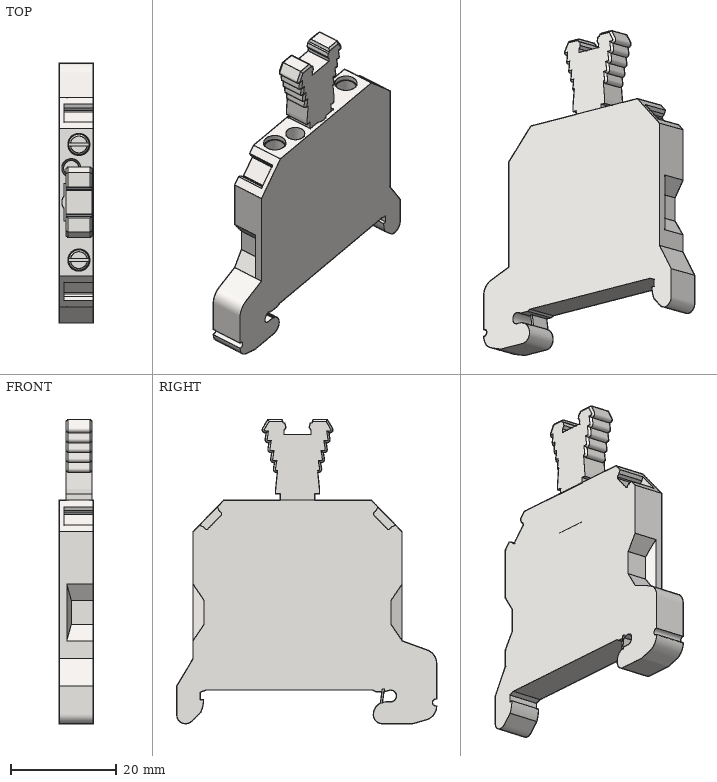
import cadquery as cq
import math


thickness = 6.5
body_half_length = 19.9
body_top = 42.55
shoulder_top_half = 14.05
shoulder_drop = 6.0
shoulder_bottom = body_top - shoulder_drop

front_foot_y = -23.0
front_slope_top = 12.4
front_slope_bottom = 7.2
front_toe_radius = 1.7
front_corner_z = -front_toe_radius * math.sqrt(2)
hook_start_y = -18.4
hook_start_z = hook_start_y - front_foot_y + front_corner_z
hook_mid = (-18.05, 3.2)
hook_tip = (-17.85, 4.6)
hook_root_y = -18.5

seat_z = 6.4
seat_front_y = -17.4
seat_front_drop = 0.4
seat_back_y = 14.3
seat_lip_drop = 0.3
seat_lip_length = 0.6

back_foot_y = 26.5
back_slope_top = 15.8
back_slope_bottom = 13.4
back_heel_z = 1.3
back_bottom_y = 21.9
back_corner_radius = 2.8
toe_y = 14.4
toe_bottom_radius = 1.75
notch_y = 17.7
notch_radius = 1.1
notch_floor = seat_z - 2 * notch_radius
toe_top_radius = notch_floor - toe_bottom_radius
heel_groove_radius = 0.65
heel_groove_inset = 0.15
heel_groove_z = 4.05

wall = 0.95

shoulder_rim_length = 4.9
shoulder_bevel = (0.3, 0.73)
shoulder_wall_depth = 0.71
shoulder_floor_bevel = 0.21

side_pocket_wall = 1.45
side_pocket_z = 21.2
side_pocket_height = 10.8
side_pocket_depth = 2.1
side_pocket_taper = 3.1
side_pocket_wall_taper = 0.85

screw_x = 3.75
screw_y = 11.0
screw_length = 8.0
screw_rim_depth = 1.0
screw_recess = 4.0
screw_rim_radius = 2.1
screw_radius = 1.95
screw_chamfer = 0.35
screw_slot_width = 0.6
screw_slot_depth = 0.6

hole_x = 2.3
hole_radius = 1.8
test_hole_y = 6.5
test_hole_bottom_radius = 1.45
hole_depth = 8.0

plug_x_start = 1.28
plug_x_end = 6.28
plug_top = 57.94
plug_foot_z = 43.75
plug_foot_half = 4.2
plug_shank_z = 44.6
neck_half = 3.3
neck_depth = 8.0
plug_slot_half = 3.6
tooth_count = 5
tooth_pitch = 1.88
tooth_taper = 0.53
first_shelf_z = 55.35
first_tip_half = 7.2
second_tip_half = 6.3
first_root_half = 6.0
tip_radius = 0.6
plug_chamfer = 0.4
ear_top_half = 5.65
ear_inner_half = 2.95
ear_step_half = 2.75
ear_step_z = 57.3
ear_gap_half = 2.55
ear_gap_floor = 55.1
ear_bead_half = 2.2
ear_bead_z = 56.4
ear_bead_bottom = 55.8
ear_bead_top_half = 2.4
ear_bead_top = 57.2

strip_x = 2.5
strip_width = 0.42
strip_lean = 0.4
strip_top_y = 16.55
strip_seat = 0.25
strip_bottom_z = notch_floor - strip_seat
strip_top_z = seat_z + strip_seat


def extrude_x(outline, start, end):
    """Solid from a closed outline in Y and Z, between two X positions."""
    return outline.extrude(end - start).translate((start, 0, 0))


def polygon_x(points, start, end):
    return extrude_x(cq.Workplane("YZ").polyline(points).close(), start, end)


def round_edge(solid, y, z, radius):
    """Round the edge along X nearest to the given place."""
    nearest = cq.selectors.NearestToPointSelector((thickness / 2, y, z))
    return solid.edges("|X").edges(nearest).fillet(radius)


def make_blank():
    diagonal = math.sqrt(0.5)
    toe_bottom_y = toe_y + toe_bottom_radius
    toe_top_y = toe_y + toe_top_radius
    outline = (
        cq.Workplane("YZ")
        .moveTo(shoulder_top_half, body_top)
        .lineTo(-shoulder_top_half, body_top)
        .lineTo(-body_half_length, shoulder_bottom)
        .lineTo(-body_half_length, front_slope_top)
        .lineTo(front_foot_y, front_slope_bottom)
        .lineTo(front_foot_y, front_corner_z)
        .lineTo(hook_start_y, hook_start_z)
        .threePointArc(hook_mid, hook_tip)
        .lineTo(hook_root_y, hook_tip[1])
        .lineTo(hook_root_y, seat_z - seat_front_drop)
        .lineTo(seat_front_y, seat_z)
        .lineTo(seat_back_y, seat_z)
        .lineTo(seat_back_y + seat_lip_length, seat_z - seat_lip_drop)
        .lineTo(strip_top_y, seat_z - seat_lip_drop)
        .lineTo(notch_y, seat_z)
        .threePointArc((notch_y + notch_radius, seat_z - notch_radius), (notch_y, notch_floor))
        .lineTo(toe_top_y, notch_floor)
        .threePointArc(
            (toe_top_y - toe_top_radius * diagonal, toe_bottom_radius + toe_top_radius * diagonal),
            (toe_y, toe_bottom_radius),
        )
        .threePointArc(
            (toe_bottom_y - toe_bottom_radius * diagonal, toe_bottom_radius * (1 - diagonal)),
            (toe_bottom_y, 0),
        )
        .lineTo(back_bottom_y, 0)
        .lineTo(back_foot_y, back_heel_z)
        .lineTo(back_foot_y, back_slope_bottom)
        .lineTo(body_half_length, back_slope_top)
        .lineTo(body_half_length, shoulder_bottom)
        .close()
    )
    blank = extrude_x(outline, 0, thickness)
    blank = round_edge(blank, front_foot_y, front_corner_z, front_toe_radius)
    blank = round_edge(blank, back_foot_y, back_heel_z, back_corner_radius)
    return round_edge(blank, back_foot_y, back_slope_bottom, back_corner_radius)


def make_heel_groove():
    center = (back_foot_y - heel_groove_inset, heel_groove_z)
    round_end = cq.Workplane("YZ").center(*center).circle(heel_groove_radius).extrude(thickness)
    mouth = (
        cq.Workplane("YZ")
        .center(back_foot_y, heel_groove_z)
        .rect(2 * heel_groove_inset, 2 * heel_groove_radius)
        .extrude(thickness)
    )
    return round_end.union(mouth)


def make_shoulder_pocket():
    """Recess in the -Y shoulder, open towards +X."""
    run = body_half_length - shoulder_top_half
    slope = math.hypot(run, shoulder_drop)
    along = (run / slope, shoulder_drop / slope)
    inward = (along[1], -along[0])
    middle = (-(body_half_length + shoulder_top_half) / 2, body_top - shoulder_drop / 2)

    rim = shoulder_rim_length / 2
    bevel_run, bevel_depth = shoulder_bevel
    wall_depth = bevel_depth + shoulder_wall_depth
    half = [
        (rim, 0),
        (rim - bevel_run, bevel_depth),
        (rim - bevel_run, wall_depth),
        (rim - bevel_run - shoulder_floor_bevel, wall_depth + shoulder_floor_bevel),
    ]
    section = half + [(-t, d) for t, d in reversed(half)]
    points = [
        (middle[0] + t * along[0] + d * inward[0], middle[1] + t * along[1] + d * inward[1])
        for t, d in section
    ]
    return polygon_x(points, wall, thickness)


def make_side_pocket():
    """Tapered recess in the -Y side, open towards +X."""
    inner_height = side_pocket_height - 2 * side_pocket_taper
    reach = thickness + 1
    outer_width = reach - side_pocket_wall
    inner_width = outer_width - side_pocket_wall_taper
    return (
        cq.Workplane("XZ", origin=(0, -body_half_length, side_pocket_z))
        .center(reach - outer_width / 2, 0)
        .rect(outer_width, side_pocket_height)
        .workplane(offset=-side_pocket_depth)
        .center((outer_width - inner_width) / 2, 0)
        .rect(inner_width, inner_height)
        .loft(ruled=True)
    )


def make_screw(y):
    head_z = body_top - screw_recess
    screw = (
        cq.Workplane("XY", origin=(screw_x, y, head_z - screw_length))
        .circle(screw_radius)
        .extrude(screw_length)
        .faces(">Z")
        .chamfer(screw_chamfer)
    )
    slot = cq.Workplane("XY", origin=(screw_x, y, head_z - screw_slot_depth / 2)).box(
        2 * screw_radius, screw_slot_width, screw_slot_depth
    )
    return screw.cut(slot)


def make_screw_hole(y):
    bore_depth = screw_recess + screw_length
    top = cq.Workplane("XY", origin=(screw_x, y, body_top))
    return top.circle(screw_radius).extrude(-bore_depth).union(
        top.circle(screw_rim_radius).extrude(-screw_rim_depth)
    )


def make_test_hole():
    """Hole that narrows towards its bottom."""
    return (
        cq.Workplane("XY", origin=(hole_x, test_hole_y, body_top))
        .circle(hole_radius)
        .workplane(offset=-hole_depth)
        .circle(test_hole_bottom_radius)
        .loft()
    )


def make_plug_slot():
    slot_width = plug_x_end - wall
    slot = cq.Workplane("XY", origin=(wall + slot_width / 2, 0, body_top)).rect(
        slot_width, 2 * plug_slot_half
    ).extrude(-neck_depth)
    relief = cq.Workplane("XY", origin=(hole_x, 0, body_top)).circle(hole_radius).extrude(-neck_depth)
    return slot.union(relief)


def make_plug():
    half = [
        (ear_gap_half, ear_gap_floor),
        (ear_gap_half, ear_bead_bottom),
        (ear_bead_half, ear_bead_z),
        (ear_bead_top_half, ear_bead_top),
        (ear_step_half, ear_step_z),
        (ear_inner_half, plug_top),
        (ear_top_half, plug_top),
    ]
    tips = []
    for k in range(tooth_count):
        shelf_z = first_shelf_z - k * tooth_pitch
        tip_half = first_tip_half if k == 0 else second_tip_half - (k - 1) * tooth_taper
        tips.append((tip_half, shelf_z))
        half += [(tip_half, shelf_z), (first_root_half - k * tooth_taper, shelf_z)]
    half += [
        (plug_foot_half, plug_shank_z),
        (plug_foot_half, plug_foot_z),
        (neck_half, plug_foot_z),
        (neck_half, body_top - neck_depth),
    ]
    outline = half + [(-y, z) for y, z in reversed(half)]
    plug = polygon_x(outline, plug_x_start, plug_x_end)
    for tip_half, z in tips:
        for y in (tip_half, -tip_half):
            plug = round_edge(plug, y, z, tip_radius)

    lowest_shelf = tips[-1][1]
    for side in (1, -1):
        teeth = cq.selectors.BoxSelector(
            (0, side * ear_inner_half, lowest_shelf - 0.1),
            (thickness, side * 2 * first_tip_half, plug_top + 1),
        )
        plug = plug.edges(teeth).edges("#X").chamfer(plug_chamfer)
    return plug


def make_strip(start, top_z):
    """Leaning strip from its seat in the notch floor up to the given height."""
    lean = strip_lean * (top_z - strip_bottom_z) / (strip_top_z - strip_bottom_z)
    bottom_y = strip_top_y - strip_lean
    points = [
        (bottom_y, strip_bottom_z),
        (bottom_y + lean, top_z),
        (bottom_y + lean - strip_width, top_z),
        (bottom_y - strip_width, strip_bottom_z),
    ]
    return polygon_x(points, start, thickness)


def make_housing():
    shoulder_pocket = make_shoulder_pocket()
    side_pocket = make_side_pocket()
    housing = make_blank().cut(make_heel_groove())
    for pocket in (shoulder_pocket, side_pocket):
        housing = housing.cut(pocket).cut(pocket.mirror("XZ"))
    for y in (screw_y, -screw_y):
        housing = housing.cut(make_screw_hole(y))
    housing = housing.cut(make_test_hole()).cut(make_plug_slot())
    return housing.cut(make_strip(0, notch_floor)).cut(make_strip(strip_x, strip_top_z))


housing = make_housing()
plug = make_plug()
strip = make_strip(strip_x, strip_top_z)
screws = [make_screw(y) for y in (screw_y, -screw_y)]

result = cq.Compound.makeCompound(
    [housing.val(), plug.val(), strip.val(), *[screw.val() for screw in screws]]
)